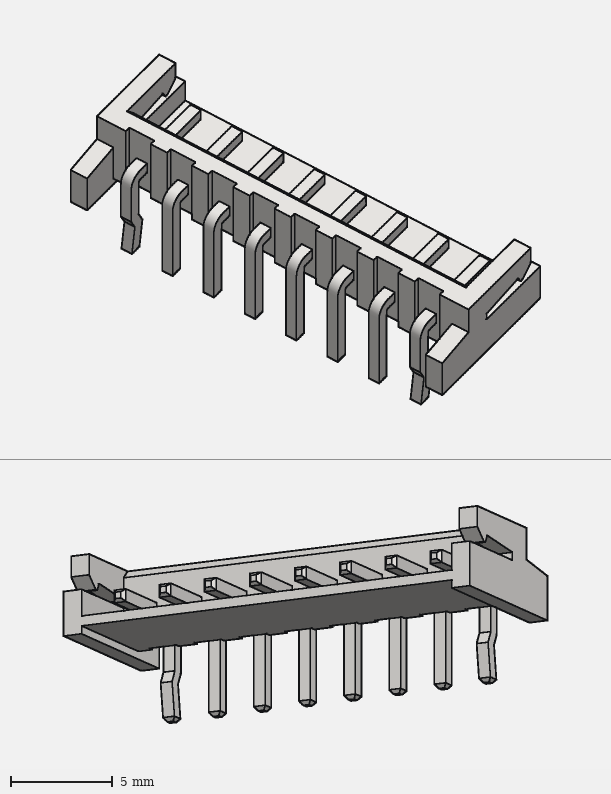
import cadquery as cq
import math


pin_count = 8
pin_pitch = 2.5
pin_size = 0.64
pin_half = pin_size / 2
pin_axis_z = 2.0
pin_bend_inner = 0.1
pin_bend_radius = pin_bend_inner + pin_half
pin_mate_end_y = 5.7
pin_solder_end_z = -3.2
tip_length = 0.2
tip_inset = pin_size / 4

kink_top_z = -0.7
kink_peak_z = -1.3
kink_offset = 0.3
kink_end_offset = 0.05

row_end_margin = 2.5
housing_length = (pin_count - 1) * pin_pitch + 2 * row_end_margin
housing_top_z = 4.2
housing_front_y = 6.7
floor_bottom_z = 0.4
floor_top_z = 0.9
wall_back_y = 0.7
wall_inner_y = 2.25
wall_chamfer = 0.42

recess_width = 1.5
recess_depth = 0.3

plate_thickness = 1.0
plate_back_y = -1.5
plate_top_z = 2.25
plate_shoulder_z = 2.6
arm_end_y = 5.9
arm_end_z = 3.15
latch_tip_front_y = 5.2
latch_tip_back_y = 5.05
latch_tip_z = 2.55
latch_root_y = 4.85
latch_root_z = 2.93
slot_end_y = 2.2
slot_end_z = 2.65

pin_positions = [(i - (pin_count - 1) / 2) * pin_pitch for i in range(pin_count)]


def extrude_along_x(points, center_x, width):
    """Extrude a closed (Y, Z) outline symmetrically about center_x."""
    return (
        cq.Workplane("YZ", origin=(center_x, 0, 0))
        .polyline(points)
        .close()
        .extrude(width / 2, both=True)
    )


def make_body():
    """Floor and back wall in one L-shaped section, with a bevelled inner wall edge."""
    section = [
        (wall_back_y, floor_bottom_z),
        (housing_front_y, floor_bottom_z),
        (housing_front_y, floor_top_z),
        (wall_inner_y, floor_top_z),
        (wall_inner_y, housing_top_z - wall_chamfer),
        (wall_inner_y - wall_chamfer, housing_top_z),
        (wall_back_y, housing_top_z),
    ]
    body = extrude_along_x(section, 0, housing_length - 2 * plate_thickness)
    for x in pin_positions:
        recess = cq.Workplane("XY").box(
            recess_width, recess_depth, housing_top_z, centered=(True, False, False)
        )
        body = body.cut(recess.translate((x, wall_back_y, 0)))
    return body


def make_side_plate(center_x):
    """Side plate with a sloped rear ear and a hooked latch arm above a slot."""
    outline = [
        (plate_back_y, 0),
        (housing_front_y, 0),
        (housing_front_y, plate_top_z),
        (slot_end_y, plate_top_z),
        (slot_end_y, slot_end_z),
        (latch_root_y, latch_root_z),
        (latch_tip_back_y, latch_tip_z),
        (latch_tip_front_y, latch_tip_z),
        (arm_end_y, arm_end_z),
        (arm_end_y, housing_top_z),
        (wall_back_y, housing_top_z),
        (wall_back_y, plate_shoulder_z),
        (plate_back_y, plate_top_z),
    ]
    return extrude_along_x(outline, center_x, plate_thickness)


def make_tip(x, y, z, direction):
    """Four-sided taper starting at the end of a pin and pointing along direction."""
    plane = cq.Plane(origin=(x, y, z), xDir=(1, 0, 0), normal=direction)
    taper_angle = math.degrees(math.atan2(tip_inset, tip_length))
    return cq.Workplane(plane).rect(pin_size, pin_size).extrude(tip_length, taper=taper_angle)


def make_pin(x, kinked):
    """Square pin bent through a right angle; a kinked leg bows towards +Y."""
    leg_end_z = pin_solder_end_z + tip_length
    leg_end_y = kink_end_offset if kinked else 0
    straight_end_y = pin_mate_end_y - tip_length
    bend_y = pin_half + pin_bend_inner
    bend_z = pin_axis_z - pin_bend_radius
    outer_radius = pin_bend_radius + pin_half
    sin_45 = math.sin(math.radians(45))

    leg_points = [(0, kink_top_z), (kink_offset, kink_peak_z)] if kinked else []
    leg_points.append((leg_end_y, leg_end_z))
    outer_leg = [(y - pin_half, z) for y, z in leg_points]
    inner_leg = [(y + pin_half, z) for y, z in reversed(leg_points)]

    pin = (
        cq.Workplane("YZ", origin=(x, 0, 0))
        .moveTo(straight_end_y, pin_axis_z + pin_half)
        .lineTo(bend_y, pin_axis_z + pin_half)
        .threePointArc(
            (bend_y - outer_radius * sin_45, bend_z + outer_radius * sin_45),
            (-pin_half, bend_z),
        )
        .polyline(outer_leg + inner_leg, includeCurrent=True)
        .lineTo(pin_half, bend_z)
        .threePointArc(
            (bend_y - pin_bend_inner * sin_45, bend_z + pin_bend_inner * sin_45),
            (bend_y, pin_axis_z - pin_half),
        )
        .lineTo(straight_end_y, pin_axis_z - pin_half)
        .close()
        .extrude(pin_half, both=True)
    )
    mate_tip = make_tip(x, straight_end_y, pin_axis_z, (0, 1, 0))
    solder_tip = make_tip(x, leg_end_y, leg_end_z, (0, 0, -1))
    return pin.union(mate_tip).union(solder_tip)


result = make_body()

for side in (-1, 1):
    result = result.union(make_side_plate(side * (housing_length - plate_thickness) / 2))

for x in pin_positions:
    is_outermost = x in (pin_positions[0], pin_positions[-1])
    result = result.union(make_pin(x, is_outermost))